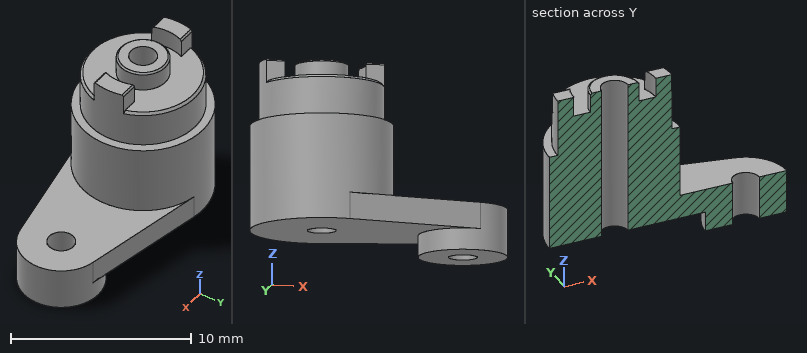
import cadquery as cq

overall_length = 14.5
body_radius = 4.0
arm_end_radius = 2.5
arm_length = overall_length - body_radius - arm_end_radius
foot_height = 1.2
arm_thickness = 1.5
body_height = 5.9
collar_radius = 3.5
collar_height = 2.29
pin_radius = 1.5
tab_height = 1.2
tab_width = 2.0
tab_inner_radius = 2.5
bore_radius = 0.8
edge_chamfer = 0.15
tip_chamfer = 0.1

body_top = foot_height + body_height
collar_top = body_top + collar_height
part_top = collar_top + tab_height


def cylinder(radius, bottom, top, x=0):
    """Vertical cylinder between two levels."""
    return cq.Workplane("XY", origin=(x, 0, bottom)).circle(radius).extrude(top - bottom)


def make_arm():
    """Plate bounded by two circles and their common outer tangents."""
    slope = (body_radius - arm_end_radius) / arm_length
    rise = (1 - slope**2) ** 0.5
    body_x, body_y = body_radius * slope, body_radius * rise
    end_x, end_y = arm_length + arm_end_radius * slope, arm_end_radius * rise
    return (
        cq.Workplane("XY", origin=(0, 0, foot_height))
        .moveTo(body_x, -body_y)
        .lineTo(end_x, -end_y)
        .threePointArc((arm_length + arm_end_radius, 0), (end_x, end_y))
        .lineTo(body_x, body_y)
        .threePointArc((-body_radius, 0), (body_x, -body_y))
        .close()
        .extrude(arm_thickness)
    )


def make_tabs():
    """Two opposite drive tabs: a ring trimmed to a band with chamfered long top edges."""
    height = part_top - body_top
    ring = cylinder(collar_radius, body_top, part_top).cut(cylinder(tab_inner_radius, body_top, part_top))
    band = (
        cq.Workplane("XY", origin=(0, 0, body_top))
        .box(2 * body_radius, tab_width, height, centered=(True, True, False))
        .faces(">Z")
        .edges("|X")
        .chamfer(tip_chamfer)
    )
    return ring.intersect(band)


body = cylinder(body_radius, foot_height, body_top)
collar = cylinder(collar_radius, body_top, collar_top).faces(">Z").chamfer(edge_chamfer)
pin = cylinder(pin_radius, body_top, part_top).faces(">Z").chamfer(tip_chamfer)
foot = cylinder(arm_end_radius, 0, foot_height + arm_thickness, arm_length)

result = body.union(make_arm()).union(foot).union(collar).union(pin).union(make_tabs())
result = result.cut(cylinder(bore_radius, 0, part_top))
result = result.cut(cylinder(bore_radius, 0, part_top, arm_length))